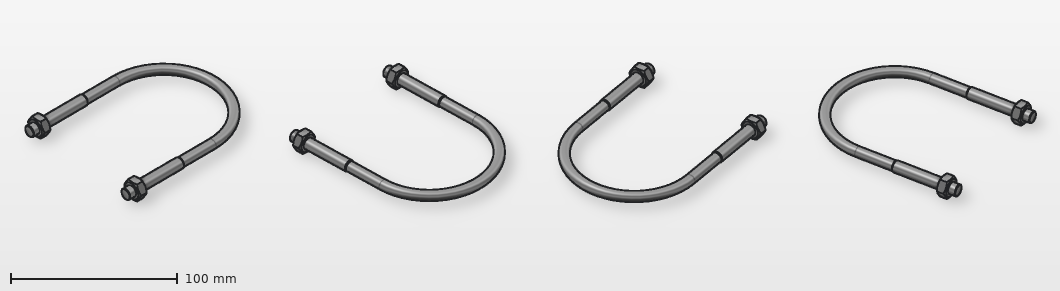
import cadquery as cq
import math

total_length = 117.0
rod_diameter = 7.0
leg_spacing = 84.0
bend_radius = leg_spacing / 2
leg_length = total_length - bend_radius - rod_diameter / 2

thread_diameter = 7.8
thread_length = 45.2
thread_step = (thread_diameter - rod_diameter) / 2
shoulder_length = 0.7

nut_across_flats = 13.0
nut_across_corners = nut_across_flats / math.cos(math.radians(30))
nut_thickness = 6.5
nut_face_diameter = 11.5
nut_chamfer_angle = 30.0
nut_setback = 5.0

tip_y = -leg_length


def workplane_across_leg(x, y):
    """Plane across a leg, with its normal pointing from the tip toward the bend."""
    return cq.Workplane(cq.Plane(origin=(x, y, 0), xDir=(1, 0, 0), normal=(0, 1, 0)))


def revolve_about_leg(x, half_profile):
    """Full turn of a closed half profile about the axis of the leg at x."""
    return cq.Workplane("XY").polyline(half_profile).close().revolve(360, (x, 0, 0), (x, 1, 0))


def make_rod():
    """Round bar swept along two straight legs and a half-circle bend."""
    path = (
        cq.Workplane("XY")
        .moveTo(-bend_radius, tip_y)
        .lineTo(-bend_radius, 0)
        .threePointArc((0, bend_radius), (bend_radius, 0))
        .lineTo(bend_radius, tip_y)
    )
    return workplane_across_leg(-bend_radius, tip_y).circle(rod_diameter / 2).sweep(path)


def make_thread(x):
    """Thickened leg end, chamfered at the tip and tapering down to the rod."""
    shoulder_y = tip_y + thread_length
    half_profile = [
        (x, tip_y),
        (x + rod_diameter / 2, tip_y),
        (x + thread_diameter / 2, tip_y + thread_step),
        (x + thread_diameter / 2, shoulder_y - shoulder_length),
        (x + rod_diameter / 2, shoulder_y),
        (x, shoulder_y),
    ]
    return revolve_about_leg(x, half_profile)


def make_nut(x):
    """Hexagonal nut with its corners cut by a cone on both faces."""
    outer_y = tip_y + nut_setback
    inner_y = outer_y + nut_thickness
    hexagon = workplane_across_leg(x, outer_y).polygon(6, nut_across_corners).extrude(nut_thickness)

    face_radius = nut_face_diameter / 2
    corner_radius = nut_across_corners / 2
    cone_height = (corner_radius - face_radius) * math.tan(math.radians(nut_chamfer_angle))
    half_profile = [
        (x, outer_y),
        (x + face_radius, outer_y),
        (x + corner_radius, outer_y + cone_height),
        (x + corner_radius, inner_y - cone_height),
        (x + face_radius, inner_y),
        (x, inner_y),
    ]
    return hexagon.intersect(revolve_about_leg(x, half_profile))


result = make_rod()
for leg_x in (-bend_radius, bend_radius):
    result = result.union(make_thread(leg_x)).union(make_nut(leg_x))